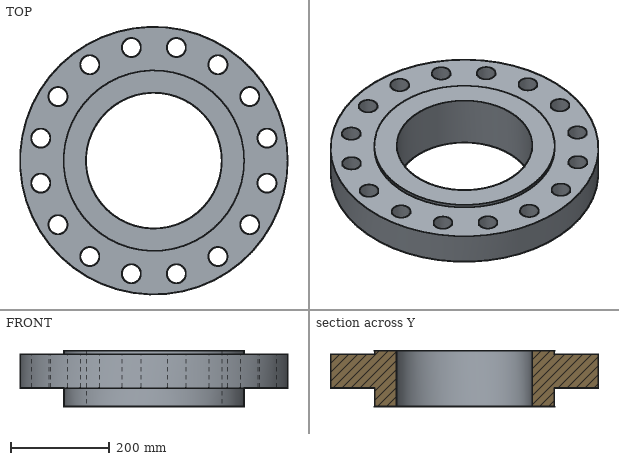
import cadquery as cq

flange_diameter = 546.0
total_height = 114.0
hub_height = 37.5
raised_face_height = 7.0
flange_thickness = total_height - hub_height - raised_face_height

hub_diameter = 368.0
raised_face_diameter = hub_diameter
bore_diameter = 276.5

bolt_count = 16
bolt_circle_diameter = 470.0
bolt_hole_diameter = 38.0
first_bolt_angle = 360 / bolt_count / 2


def disc(diameter, height, base_z):
    """Solid disc about the Z axis, standing on base_z."""
    return cq.Workplane("XY").workplane(offset=base_z).circle(diameter / 2).extrude(height)


flange_base = hub_height
raised_face_base = flange_base + flange_thickness
body = (
    disc(hub_diameter, hub_height, 0)
    .union(disc(flange_diameter, flange_thickness, flange_base))
    .union(disc(raised_face_diameter, raised_face_height, raised_face_base))
)

bore = disc(bore_diameter, total_height, 0)

bolt_holes = (
    cq.Workplane("XY")
    .workplane(offset=flange_base)
    .polarArray(bolt_circle_diameter / 2, first_bolt_angle, 360, bolt_count)
    .circle(bolt_hole_diameter / 2)
    .extrude(flange_thickness)
)

result = body.cut(bore).cut(bolt_holes)